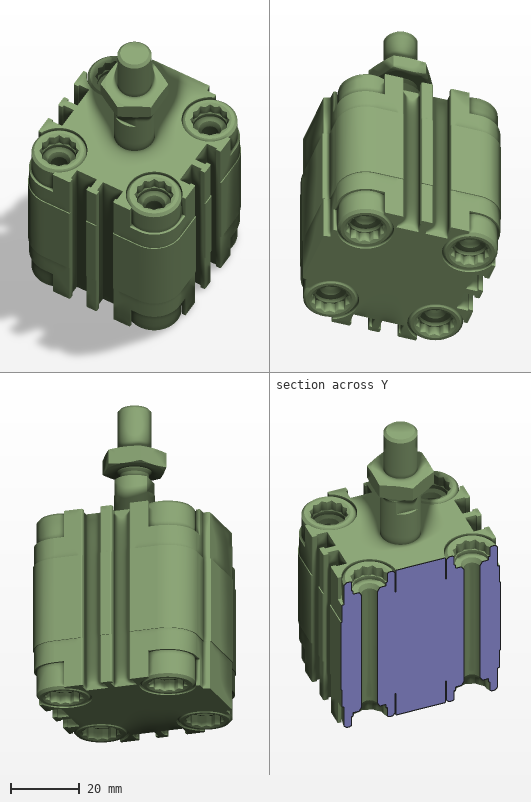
import cadquery as cq
import math

housing_height = 54.5
band_half_width = 25.02
band_relief = 0.3
band_bottom = 14.6
band_top = 40.1
end_half_width = band_half_width - band_relief
corner_offset = 16.0

pad_tip_half_width = 9.5
pad_root_half_width = 10.0
pad_projection = 1.9

slot_floor = 19.8
lip_underside = 23.2
slot_half_width = 7.8
mouth_half_width = 7.2
rib_half_width = 1.0
rib_head_half_width = 1.8
lip_round = 0.4
slot_overrun = 0.9

boss_radius = 8.0
boss_height = 8.05
boss_rim_radius = 7.2
boss_chamfer_depth = 0.8
pocket_radius = 8.2
notch_inner = 12.95

countersink_radius = 6.24
countersink_depth = 0.6
socket_points = 12
socket_tip_radius = 5.7
socket_depth = 3.6
recess_radius = 5.04
recess_depth = 4.9
hole_radius = 2.45
hole_mouth_radius = 3.2
hole_chamfer_depth = 1.4

total_height = 92.5
rod_radius = 6.0
shoulder_z = 70.4
flats_bottom_z = 65.8
flats_width = 10.0
neck_radius = 4.3
thread_radius = 5.0
thread_tip_chamfer = 0.8

nut_bottom_z = 73.35
nut_height = 5.1
nut_across_flats = 17.0
nut_face_radius = 8.4
nut_corner_radius = nut_across_flats / math.sqrt(3)
nut_chamfer_depth = 0.4

thread_below_nut = 0.3
thread_start_z = nut_bottom_z - thread_below_nut
thread_runout_z = thread_start_z - (thread_radius - neck_radius)


def slot_half(face, length):
    """Cutter for the space between rib and lip on the +X side, at positive Y."""
    arc_middle = lip_round * (1 - math.sqrt(0.5))
    arc_x = face - arc_middle
    outside = face + slot_overrun
    mouth_edge = mouth_half_width + lip_round
    rib_edge = rib_head_half_width - lip_round
    return (
        cq.Workplane("XY")
        .moveTo(slot_floor, rib_half_width)
        .lineTo(slot_floor, slot_half_width)
        .lineTo(lip_underside, slot_half_width)
        .lineTo(lip_underside, mouth_half_width)
        .lineTo(face - lip_round, mouth_half_width)
        .threePointArc((arc_x, mouth_half_width + arc_middle), (face, mouth_edge))
        .lineTo(outside, mouth_edge)
        .lineTo(outside, rib_edge)
        .lineTo(face, rib_edge)
        .threePointArc((arc_x, rib_head_half_width - arc_middle), (face - lip_round, rib_head_half_width))
        .lineTo(lip_underside, rib_head_half_width)
        .lineTo(lip_underside, rib_half_width)
        .close()
        .extrude(length)
    )


def housing_section(face, bottom, top):
    """One length of the extrusion, with its flat sides at the distance face."""
    length = top - bottom
    pad_face = face + pad_projection
    section = cq.Workplane("XY").rect(2 * face, 2 * face).extrude(length)
    section = section.edges("|Z").fillet(face - corner_offset)
    pad = (
        cq.Workplane("XY")
        .moveTo(-pad_root_half_width, 0)
        .lineTo(-pad_root_half_width, face)
        .lineTo(-pad_tip_half_width, pad_face)
        .lineTo(pad_tip_half_width, pad_face)
        .lineTo(pad_root_half_width, face)
        .lineTo(pad_root_half_width, 0)
        .close()
        .extrude(length)
    )
    section = section.union(pad)
    cutter = slot_half(face, length)
    for half in (cutter, cutter.mirror("XZ")):
        for angle in (0, -90, 180):
            section = section.cut(half.rotate((0, 0, 0), (0, 0, 1), angle))
    return section.translate((0, 0, bottom))


def boss_clearance():
    """Corner step and round clearance around the +X +Y boss at the top end."""
    reach = end_half_width - notch_inner
    middle = notch_inner + reach / 2
    bottom = housing_height - boss_height
    block = cq.Workplane("XY", (middle, middle, bottom)).rect(reach, reach).extrude(boss_height)
    boss_base = cq.Workplane("XY", (corner_offset, corner_offset, bottom))
    pocket = boss_base.circle(pocket_radius).extrude(boss_height)
    boss = boss_base.circle(boss_radius).extrude(boss_height)
    return block.union(pocket).cut(boss)


def rim_groove():
    """Ring that chamfers the outer edge of a boss, with the boss face at z = 0."""
    return (
        cq.Workplane("XZ")
        .moveTo(boss_rim_radius, 0)
        .lineTo(boss_radius, 0)
        .lineTo(boss_radius, -boss_chamfer_depth)
        .close()
        .revolve(360, (0, 0, 0), (0, 1, 0))
    )


def socket_star():
    """Twelve-point prism made of two hexagons turned against each other."""
    valley_radius = socket_tip_radius * math.cos(math.pi / 6) / math.cos(math.pi / socket_points)
    outline = []
    for i in range(2 * socket_points):
        radius = valley_radius if i % 2 else socket_tip_radius
        angle = math.pi * i / socket_points
        outline.append((radius * math.cos(angle), radius * math.sin(angle)))
    return cq.Workplane("XY").polyline(outline).close().extrude(-socket_depth)


def boss_socket():
    """Countersink, round recess and centre hole down to mid-height, with the boss face at z = 0."""
    bore = (
        cq.Workplane("XZ")
        .moveTo(0, 0)
        .lineTo(countersink_radius, 0)
        .lineTo(recess_radius, -countersink_depth)
        .lineTo(recess_radius, -recess_depth)
        .lineTo(hole_mouth_radius, -recess_depth)
        .lineTo(hole_radius, -recess_depth - hole_chamfer_depth)
        .lineTo(hole_radius, -housing_height / 2)
        .lineTo(0, -housing_height / 2)
        .close()
        .revolve(360, (0, 0, 0), (0, 1, 0))
    )
    return bore.union(socket_star())


def make_housing():
    """Extruded body with a socketed boss in each corner of both ends."""
    body = housing_section(end_half_width, 0, band_bottom)
    body = body.union(housing_section(band_half_width, band_bottom, band_top))
    body = body.union(housing_section(end_half_width, band_top, housing_height))

    boss_face = (corner_offset, corner_offset, housing_height)
    top_cutters = [boss_clearance(), rim_groove().translate(boss_face), boss_socket().translate(boss_face)]
    mid_height = (0, 0, housing_height / 2)
    for cutter in top_cutters:
        for end in (cutter, cutter.mirror("XY", mid_height)):
            for quarter in range(4):
                body = body.cut(end.rotate((0, 0, 0), (0, 0, 1), 90 * quarter))
    return body


def make_rod():
    """Rod standing on the housing, with a necked thread and two wrench flats."""
    rod = (
        cq.Workplane("XZ")
        .moveTo(0, housing_height)
        .lineTo(rod_radius, housing_height)
        .lineTo(rod_radius, shoulder_z)
        .lineTo(neck_radius, shoulder_z)
        .lineTo(neck_radius, thread_runout_z)
        .lineTo(thread_radius, thread_start_z)
        .lineTo(thread_radius, total_height - thread_tip_chamfer)
        .lineTo(thread_radius - thread_tip_chamfer, total_height)
        .lineTo(0, total_height)
        .close()
        .revolve(360, (0, 0, 0), (0, 1, 0))
    )
    flats_height = shoulder_z - flats_bottom_z
    flats_base = cq.Workplane("XY", (0, 0, flats_bottom_z))
    flats_ring = flats_base.circle(2 * rod_radius).extrude(flats_height)
    flats_core = flats_base.rect(4 * rod_radius, flats_width).extrude(flats_height)
    return rod.cut(flats_ring.cut(flats_core))


def make_nut():
    """Hexagon nut with two corners on the Y axis and both faces chamfered to a circle."""
    hexagon = cq.Workplane("XY").polygon(6, 2 * nut_corner_radius).extrude(nut_height)
    hexagon = hexagon.rotate((0, 0, 0), (0, 0, 1), 90)
    chamfer_envelope = (
        cq.Workplane("XZ")
        .moveTo(0, 0)
        .lineTo(nut_face_radius, 0)
        .lineTo(nut_corner_radius, nut_chamfer_depth)
        .lineTo(nut_corner_radius, nut_height - nut_chamfer_depth)
        .lineTo(nut_face_radius, nut_height)
        .lineTo(0, nut_height)
        .close()
        .revolve(360, (0, 0, 0), (0, 1, 0))
    )
    thread_hole = cq.Workplane("XY").circle(thread_radius).extrude(nut_height)
    return hexagon.intersect(chamfer_envelope).cut(thread_hole).translate((0, 0, nut_bottom_z))


housing = make_housing().solids()
rod = make_rod().solids()
nut = make_nut().solids()

result = cq.Compound.makeCompound([housing.val(), rod.val(), nut.val()])